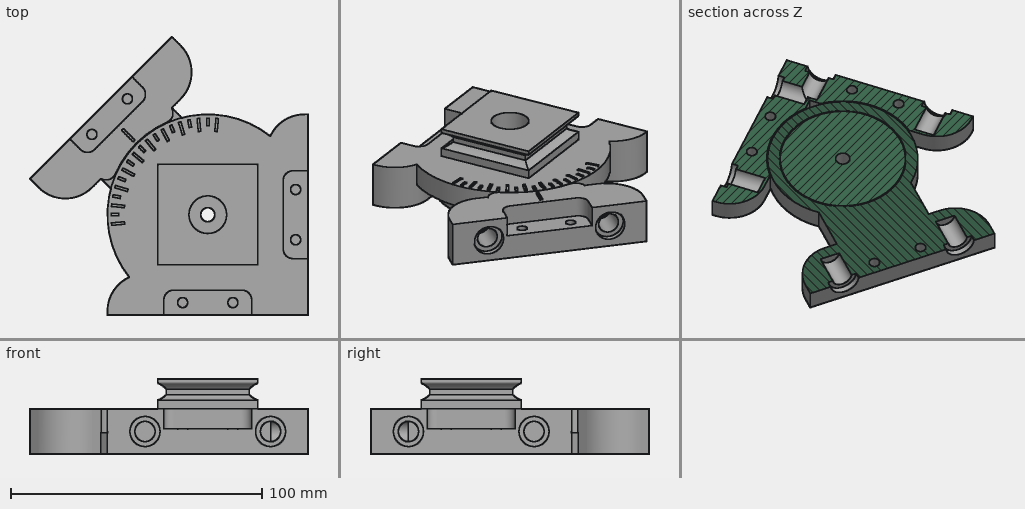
import cadquery as cq
import math


block_height = 18.0
block_half_width = 40.0
lobe_radius = 15.0

magnet_offset = 25.0
magnet_height = block_height / 2
magnet_hole_diameter = 8.05
magnet_hole_depth = 15.0
magnet_rim_diameter = 12.0
magnet_rim_depth = 2.5

pocket_width = 35.0
pocket_depth = 10.0
pocket_floor = 10.0
pocket_corner_radius = 4.0
screw_offset = 10.0
screw_inset = 5.0
screw_hole_diameter = 4.0
screw_hole_depth = 8.0

dial_radius = 40.0
dial_bottom = 9.0
rail_thickness = 16.5
bolt_diameter = 5.5
pivot_diameter = 50.0

dial_gap = 0.225
arm_thickness = 20.0
arm_reach = dial_radius + dial_gap + arm_thickness
tongue_half_width = 20.0
tongue_height = 8.5
ring_radius = 30.0
ring_bore_diameter = 50.2
ring_gap = 0.2
collar_tip_radius = 4.0
arm_direction = 135.0

mark_width = 1.0
mark_depth = 0.5
mark_outer_radius = 38.5
short_mark_length = 3.0
long_mark_length = 5.2
marks_per_quarter = 16
mark_step = 90 / marks_per_quarter
mark_count = 19
first_mark_angle = 90 - mark_step
pointer_start = 41.5
pointer_length = 6.5

plate_half_width = 20.0
plate_top = 30.0
plate_bore_diameter = 15.0
groove_half_width = 16.6
rim_thickness = 1.0
rim_lip_inset = 0.5
rim_lip_height = 1.0
groove_flank_height = 2.15
flank_sag = 0.25
rim_lip_bulge = 0.16
base_thickness = 3.5


def rotated(shape, angle):
    return shape.rotate((0, 0, 0), (0, 0, 1), angle)


def cylinder(diameter, bottom, height):
    return cq.Workplane("XY").workplane(offset=bottom).circle(diameter / 2).extrude(height)


def box_between(x_start, x_end, y_half_width, bottom, top):
    length = x_end - x_start
    return (
        cq.Workplane("XY")
        .box(length, 2 * y_half_width, top - bottom, centered=(False, True, False))
        .translate((x_start, 0, bottom))
    )


def radial_mark(start, length):
    """Cutter for a shallow groove running outward along +X in the top face."""
    return box_between(start, start + length, mark_width / 2, block_height - mark_depth, block_height)


def face_cutters(face_x):
    """Magnet holes, screw pocket and screw holes for an outer face at x = face_x, facing +X."""
    pocket_start = face_x - pocket_depth
    cutters = box_between(pocket_start, face_x, pocket_width / 2, pocket_floor, block_height)
    cutters = cutters.edges("|Z and <X").fillet(pocket_corner_radius)
    face = cq.Workplane("YZ", origin=(face_x, 0, magnet_height))
    for side in (-1, 1):
        centre = face.center(side * magnet_offset, 0)
        cutters = cutters.union(centre.circle(magnet_hole_diameter / 2).extrude(-magnet_hole_depth))
        cutters = cutters.union(centre.circle(magnet_rim_diameter / 2).extrude(-magnet_rim_depth))
        screw = cylinder(screw_hole_diameter, pocket_floor - screw_hole_depth, screw_hole_depth)
        cutters = cutters.union(screw.translate((face_x - screw_inset, side * screw_offset, 0)))
    return cutters


def make_corner_block():
    rail_inner = block_half_width - rail_thickness
    plain_rail = box_between(rail_inner, block_half_width, block_half_width, 0, block_height)
    side_rail = plain_rail.edges("|Z and <X and >Y").fillet(lobe_radius)
    front_rail = rotated(plain_rail, -90).edges("|Z and <X and >Y").fillet(lobe_radius)
    rails = side_rail.union(front_rail)

    ring_room = cylinder(2 * (ring_radius + ring_gap), 0, dial_bottom)
    dial = cylinder(2 * dial_radius, dial_bottom, block_height - dial_bottom)
    dial_to_rails = (
        cq.Workplane("XY")
        .workplane(offset=dial_bottom)
        .rect(block_half_width, -block_half_width, centered=False)
        .extrude(block_height - dial_bottom)
    )
    pivot = cylinder(pivot_diameter, 0, dial_bottom)
    block = rails.cut(ring_room).union(dial).union(dial_to_rails).union(pivot)

    for angle in (0, -90):
        block = block.cut(rotated(face_cutters(block_half_width), angle))
    block = block.cut(cylinder(bolt_diameter, 0, block_height))

    for index in range(mark_count):
        angle = first_mark_angle + index * mark_step
        length = long_mark_length if index % 2 == 0 else short_mark_length
        block = block.cut(rotated(radial_mark(mark_outer_radius - length, length), angle))
    return block


def make_arm():
    """Arm built pointing along +X, then swung to its working direction."""
    block_start = arm_reach - arm_thickness
    block = box_between(block_start, arm_reach, block_half_width, 0, block_height)
    block = block.edges("|Z and <X").fillet(lobe_radius)

    dial_room = cylinder(2 * (dial_radius + dial_gap), tongue_height, block_height - tongue_height)
    collar = box_between(0, arm_reach - pocket_depth, tongue_half_width, tongue_height, block_height)
    collar = collar.cut(dial_room).edges("|Z and <X").fillet(collar_tip_radius)

    tongue = box_between(0, block_start, tongue_half_width, 0, tongue_height)
    ring = cylinder(2 * ring_radius, 0, tongue_height)
    arm = block.union(collar).union(tongue).union(ring)
    arm = arm.cut(cylinder(ring_bore_diameter, 0, tongue_height))
    arm = arm.cut(face_cutters(arm_reach)).cut(radial_mark(pointer_start, pointer_length))
    return rotated(arm, arm_direction)


def bowed_midpoint(start, end, bow):
    """Midpoint of an arc from start to end that bows to the left of its chord by bow."""
    run = end[0] - start[0]
    rise = end[1] - start[1]
    chord = math.hypot(run, rise)
    mid_x = (start[0] + end[0]) / 2
    mid_z = (start[1] + end[1]) / 2
    return (mid_x - bow * rise / chord, mid_z + bow * run / chord)


def plate_bar():
    """Bar along Y with the grooved plate section on its two long sides."""
    rim_edge = (plate_half_width, plate_top - rim_thickness)
    lip_end = (plate_half_width - rim_lip_inset, plate_top - rim_thickness - rim_lip_height)
    groove_top = (groove_half_width, lip_end[1] - groove_flank_height)
    base_edge = (plate_half_width, block_height + base_thickness)
    groove_bottom = (groove_half_width, base_edge[1] + groove_flank_height)
    half_section = (
        cq.Workplane("XZ", origin=(0, plate_half_width, 0))
        .moveTo(0, plate_top)
        .lineTo(plate_half_width, plate_top)
        .lineTo(*rim_edge)
        .threePointArc(bowed_midpoint(rim_edge, lip_end, rim_lip_bulge), lip_end)
        .threePointArc(bowed_midpoint(lip_end, groove_top, -flank_sag), groove_top)
        .lineTo(*groove_bottom)
        .threePointArc(bowed_midpoint(groove_bottom, base_edge, -flank_sag), base_edge)
        .lineTo(plate_half_width, block_height)
        .lineTo(0, block_height)
        .close()
        .extrude(2 * plate_half_width)
    )
    return half_section.union(half_section.mirror("YZ"))


def make_mounting_plate():
    plate = plate_bar().intersect(rotated(plate_bar(), 90))
    return plate.cut(cylinder(plate_bore_diameter, block_height, plate_top - block_height))


corner_block = make_corner_block()
arm = make_arm()
mounting_plate = make_mounting_plate()

result = cq.Compound.makeCompound([corner_block.val(), arm.val(), mounting_plate.val()])